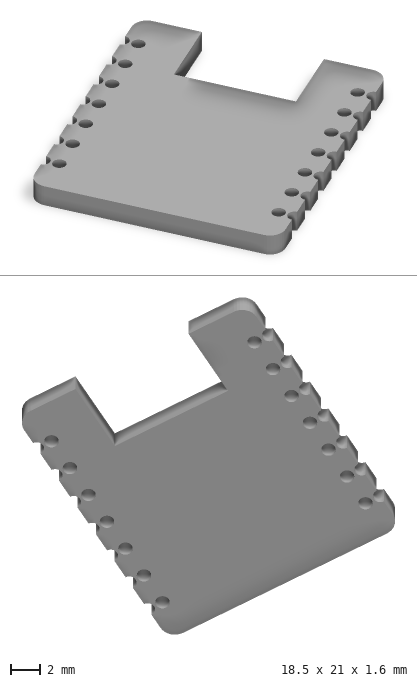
import cadquery as cq
import math

BOARD_WIDTH = 18.5
BOARD_LENGTH = 21.0
BOARD_THICKNESS = 1.6

CORNER_RADIUS = 1.15
CORNER_FACETS = 8

NOTCH_WIDTH = 9.0
NOTCH_DEPTH = 5.4

PIN_COUNT = 7
PIN_PITCH = 2.54
PIN_DIAMETER = 1.0
PIN_INSET = 1.17

HALF_WIDTH = BOARD_WIDTH / 2
HALF_LENGTH = BOARD_LENGTH / 2


def corner_points(side_x, side_y, start_angle):
    """Facet corners of one board corner, counter-clockwise over a quarter turn."""
    center_x = side_x * (HALF_WIDTH - CORNER_RADIUS)
    center_y = side_y * (HALF_LENGTH - CORNER_RADIUS)
    points = []
    for step in range(CORNER_FACETS + 1):
        angle = math.radians(start_angle + 90 * step / CORNER_FACETS)
        x = center_x + CORNER_RADIUS * math.cos(angle)
        y = center_y + CORNER_RADIUS * math.sin(angle)
        points.append((x, y))
    return points


def make_board():
    """Plain plate with four faceted corners."""
    outline = (
        corner_points(1, 1, 0)
        + corner_points(-1, 1, 90)
        + corner_points(-1, -1, 180)
        + corner_points(1, -1, 270)
    )
    return cq.Workplane("XY").polyline(outline).close().extrude(BOARD_THICKNESS)


def make_notch():
    """Block that opens the rectangular notch through the +Y edge."""
    return (
        cq.Workplane("XY")
        .center(0, HALF_LENGTH - NOTCH_DEPTH / 2)
        .rect(NOTCH_WIDTH, NOTCH_DEPTH)
        .extrude(BOARD_THICKNESS)
    )


def make_pin_cutters():
    """Cylinders for the pin holes and for the half-round castellations on the edges beside them."""
    row_start = -PIN_PITCH * (PIN_COUNT - 1) / 2
    centers = []
    for pin in range(PIN_COUNT):
        y = row_start + pin * PIN_PITCH
        for side in (-1, 1):
            centers.append((side * HALF_WIDTH, y))
            centers.append((side * (HALF_WIDTH - PIN_INSET), y))
    return cq.Workplane("XY").pushPoints(centers).circle(PIN_DIAMETER / 2).extrude(BOARD_THICKNESS)


result = make_board().cut(make_notch()).cut(make_pin_cutters())